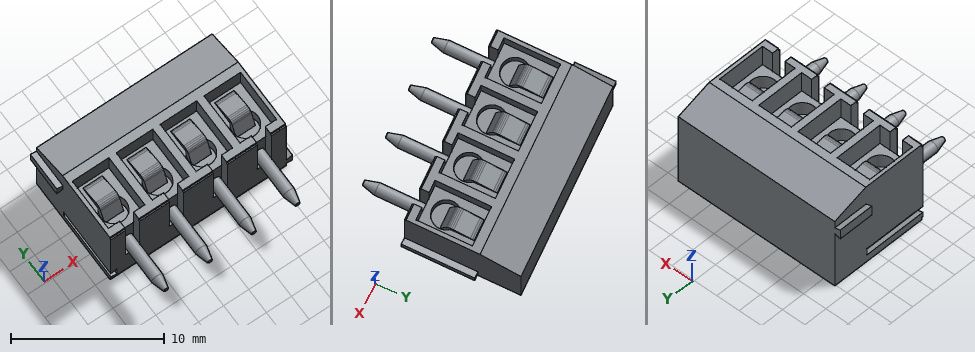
import math
import cadquery as cq


overall_length = 14.99
rail_depth = 0.5
body_length = overall_length - 2 * rail_depth
body_depth = 8.41
body_height = 7.0
slope_depth = 2.95
slope_drop = 1.0
rebate_depth = 0.1
rebate_height = 0.21

pole_count = 4
pitch = body_length / pole_count

chamber_width = 2.91
chamber_back = 3.65
chamber_front = 7.72
chamber_floor = 5.3
slot_width = 1.11
slot_bottom = 2.73

tongue_width = 1.53
tongue_back = 3.85
ramp_back = 4.12
ramp_front = 5.32
drop_front = 6.31
tail_angle = 45
ramp_angle = 12.5
drop_angle = -69.5
tail_facets = 2
nose_radius = 0.46
nose_facets = 5

screw_radius = 1.0
screw_centre = 6.24

pin_diameter = 0.91
pin_tip_diameter = 0.39
pin_height = 3.4
pin_shoulder = 11.2
pin_tip = 12.19

dovetail_neck = 0.54
dovetail_width = 0.82
left_rail_height = 5.14
left_rail_front = 3.0
right_rail_height = 0.88
right_rail_back = 3.1
groove_back = 3.07

half_length = body_length / 2
pole_positions = [(i - (pole_count - 1) / 2) * pitch for i in range(pole_count)]


def make_housing():
    """Body with a sloped back edge and small rebates along the front edges."""
    rebate_y = rebate_depth - body_depth
    outline = [
        (0, 0),
        (0, body_height - slope_drop),
        (-slope_depth, body_height),
        (rebate_y, body_height),
        (rebate_y, body_height - rebate_height),
        (-body_depth, body_height - rebate_height),
        (-body_depth, rebate_height),
        (rebate_y, rebate_height),
        (rebate_y, 0),
    ]
    return cq.Workplane("YZ").polyline(outline).close().extrude(half_length, both=True)


def make_dovetail(neck_x, height, back, front):
    """Dovetail bar along Y, widening towards +X from its neck."""
    outline = [
        (neck_x, height - dovetail_neck / 2),
        (neck_x + rail_depth, height - dovetail_width / 2),
        (neck_x + rail_depth, height + dovetail_width / 2),
        (neck_x, height + dovetail_neck / 2),
    ]
    bar = cq.Workplane("XZ").polyline(outline).close().extrude(front - back)
    return bar.translate((0, -back, 0))


def make_open_pocket(x, width, back, front, bottom):
    """Box centred on x that reaches from bottom up to the top of the housing."""
    box = cq.Workplane("XY").box(
        width, front - back, body_height - bottom, centered=(True, False, False)
    )
    return box.translate((x, -front, bottom))


def make_chamber(x):
    well = make_open_pocket(x, chamber_width, chamber_back, chamber_front, chamber_floor)
    slot = make_open_pocket(x, slot_width, chamber_front, body_depth, slot_bottom)
    return well.union(slot)


def bend(start, radius, start_angle, end_angle, facets):
    """Corners (Y, Z) that follow start along an arc bending down towards the front."""
    def from_centre(angle):
        slope = math.radians(angle)
        return radius * math.sin(slope), radius * math.cos(slope)

    start_y, start_z = from_centre(start_angle)
    corners = []
    for i in range(1, facets + 1):
        y, z = from_centre(start_angle + (end_angle - start_angle) * i / facets)
        corners.append((start[0] + y - start_y, start[1] + z - start_z))
    return corners


def straight(start, end_y, angle):
    """End (Y, Z) of a flat stretch leaving start towards the front at the given angle."""
    return end_y, start[1] + (start[0] - end_y) * math.tan(math.radians(angle))


def make_tongue_profile():
    """Upper surface of the tongue from back to front, as (Y, Z) corners."""
    tail_span = math.sin(math.radians(tail_angle)) - math.sin(math.radians(ramp_angle))
    tail_radius = (ramp_back - tongue_back) / tail_span
    points = [(-tongue_back, chamber_floor)]
    points += bend(points[-1], tail_radius, tail_angle, ramp_angle, tail_facets)
    points.append(straight(points[-1], -ramp_front, ramp_angle))
    points += bend(points[-1], nose_radius, ramp_angle, drop_angle, nose_facets)
    points.append(straight(points[-1], -drop_front, drop_angle))
    return points


tongue_profile = make_tongue_profile()
screw_hole_bottom = tongue_profile[-1][1]


def make_screw_hole(x):
    hole = cq.Workplane("XY").circle(screw_radius).extrude(chamber_floor - screw_hole_bottom)
    return hole.translate((x, -screw_centre, screw_hole_bottom))


def make_tongue(x):
    outline = tongue_profile + [(-tongue_back, screw_hole_bottom)]
    tongue = cq.Workplane("YZ").polyline(outline).close().extrude(tongue_width / 2, both=True)
    return tongue.translate((x, 0, 0))


def make_pin(x):
    """Round pin with a tapered tip, starting at the front of the chamber."""
    half_outline = [
        (0, -chamber_front),
        (pin_diameter / 2, -chamber_front),
        (pin_diameter / 2, -pin_shoulder),
        (pin_tip_diameter / 2, -pin_tip),
        (0, -pin_tip),
    ]
    pin = cq.Workplane("XY").polyline(half_outline).close().revolve(360, (0, 0), (0, 1))
    return pin.translate((x, 0, pin_height))


left_rail = make_dovetail(-half_length, left_rail_height, 0, left_rail_front)
left_rail = left_rail.mirror("YZ", (-half_length, 0, 0))
right_rail = make_dovetail(half_length, right_rail_height, right_rail_back, body_depth)
groove = make_dovetail(-half_length, right_rail_height, groove_back, body_depth)

result = make_housing().union(left_rail).union(right_rail).cut(groove)
for pole_x in pole_positions:
    result = result.cut(make_chamber(pole_x)).cut(make_screw_hole(pole_x))
    result = result.union(make_tongue(pole_x)).union(make_pin(pole_x))